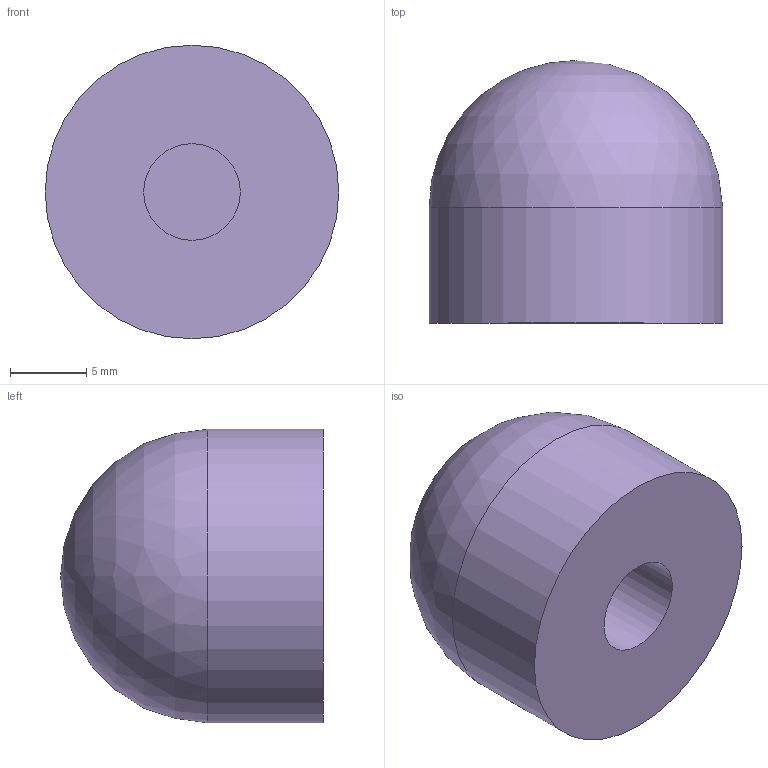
import cadquery as cq
import math

body_diameter = 19.3
cylinder_length = 7.62
bore_diameter = 6.35
bore_depth = cylinder_length

body_radius = body_diameter / 2
bore_radius = bore_diameter / 2


def domed_body():
    """Cylinder and hemisphere as one revolved profile, flat face at Y = 0."""
    arc_mid = body_radius * math.cos(math.radians(45))
    profile = (
        cq.Workplane("XY")
        .lineTo(-body_radius, 0)
        .lineTo(-body_radius, cylinder_length)
        .threePointArc(
            (-arc_mid, cylinder_length + arc_mid),
            (0, cylinder_length + body_radius),
        )
        .close()
    )
    return profile.revolve(360, (0, 0, 0), (0, 1, 0))


def bore():
    """Blind hole entering the flat face, running toward +Y."""
    return cq.Workplane("XZ").circle(bore_radius).extrude(-bore_depth)


result = domed_body().cut(bore())